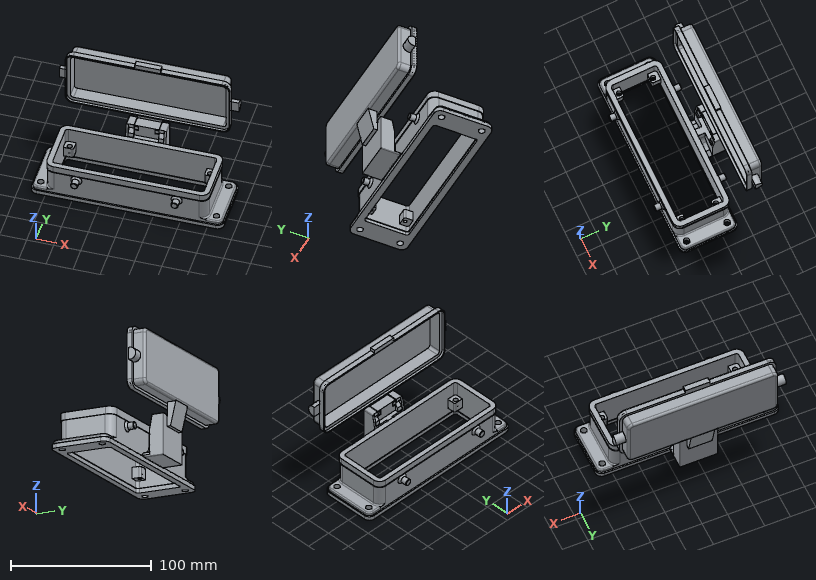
import cadquery as cq
import math

flange_length = 142.5
flange_width = 45.5
flange_height = 3.5
flange_corner = 5.0
pad_length = 140.6
pad_top = 6.2
pad_corner = 4.2
edge_round = 1.0
collar_length = 119.5
collar_width = 43.2
collar_corner = 6.0
collar_top = 29.25
rim_length = 120.5
rim_width = 44.2
rim_bottom = 23.5
opening_length = 112.0
opening_width = 36.0
opening_corner = 2.0
ledge_width = 0.5
wall_overlap = 1.0

mount_spacing_x = 130.0
mount_spacing_y = 32.0
mount_diameter = 4.6
boss_length = 7.6
boss_width = 7.0
boss_bottom = 9.2
boss_top = 17.5
boss_round = 1.3
screw_spacing_x = 103.8
screw_spacing_y = 27.0
screw_diameter = 2.4
screw_counterbore = 3.6
screw_counterbore_depth = 5.0

pin_spacing = 74.2
pin_height = 19.7
pin_radius = 2.6
pin_tip = 28.0
pin_tip_chamfer = 0.4
pin_foot_radius = 4.05
pin_foot_end = 23.2

lid_center_z = 63.9
lid_front = 33.5
lid_flange_back = 37.6
lid_back = 47.0
lid_flange_length = 122.0
lid_flange_height = 46.2
lid_flange_corner = 6.0
lid_shell_length = 117.4
lid_shell_height = 42.0
lid_shell_corner = 4.0
lid_back_round = 1.9
lid_lip = 0.9
lid_lip_depth = 2.0
lid_cavity_length = 115.0
lid_cavity_height = 38.9
lid_cavity_corner = 2.2
lid_floor = 1.8
tab_width = 19.2
tab_top = 89.75
lug_span = 132.8
lug_radius = 4.5
lug_back = 43.4

arm_width = 18.4
arm_face = 39.5
arm_slope_top = (46.6, 44.2)
arm_tip_y = 42.05
arm_bottom = 24.9
hinge_width = 30.0
hinge_back = 39.3
hinge_front = 28.3
hinge_top = 33.6
hinge_bottom = 2.4
hinge_top_front = 30.2
hinge_round = 0.4
hinge_toe_end = 23.7
hinge_toe_top = 4.0
ledge_height = 23.1
knuckle_top = 32.75
knuckle_front = 31.5
jamb_inner_x = 6.1
jamb_front = 30.85
jamb_top = 32.3
jamb_bottom = 28.8
cheek_step_x = 13.2
cheek_step_depth = 0.5
notch_top = 31.0
notch_back = 33.5
notch_back_bottom = 30.4
notch_front_bottom = 25.6
web_half_width = 2.7
web_flare_start = 15.15
web_flare_mid = (5.1, 9.4)
web_flare_end = (10.9, 7.2)
flare_mid_slope = math.radians(40)


def rounded_block(length, width, corner, z_bottom, z_top):
    """Vertical block centred on the Z axis with rounded vertical edges."""
    block = cq.Workplane("XY").workplane(offset=z_bottom).rect(length, width)
    return block.extrude(z_top - z_bottom).edges("|Z").fillet(corner)


def lid_block(length, height, corner, y_front, y_back):
    """Block centred on the lid, running from y_front to y_back, with edges along Y rounded."""
    plane = cq.Workplane("XZ", origin=(0, y_back, lid_center_z))
    return plane.rect(length, height).extrude(y_back - y_front).edges("|Y").fillet(corner)


def box_between(x0, x1, y0, y1, z0, z1):
    """Axis-aligned box given by its limits."""
    return cq.Workplane("XY").box(x1 - x0, y1 - y0, z1 - z0, centered=False).translate((x0, y0, z0))


def yz_prism(points, x0, x1):
    """Prism along X whose section is a polygon of (y, z) points."""
    return cq.Workplane("YZ").workplane(offset=x0).polyline(points).close().extrude(x1 - x0)


def make_collar():
    """Collar on its pad; the cove between them is trimmed flush with the long sides of the pad."""
    plate_width = 2 * collar_width
    plate = rounded_block(pad_length, plate_width, pad_corner, flange_height, pad_top)
    column = rounded_block(collar_length, collar_width, collar_corner, flange_height, collar_top)
    stock = plate.union(column)
    cove_reach = collar_length / 2 + edge_round
    cove_zone = cq.selectors.BoxSelector(
        (-cove_reach, -collar_width / 2 - edge_round, pad_top - edge_round / 2),
        (cove_reach, collar_width / 2 + edge_round, pad_top + edge_round / 2),
    )
    stock = stock.edges(cove_zone).fillet(edge_round)

    pad = rounded_block(pad_length, collar_width, pad_corner, flange_height, pad_top)
    pad = pad.faces(">Z").edges().fillet(edge_round)
    half_width = collar_width / 2
    core_reach = collar_length / 2 - edge_round
    core = box_between(-core_reach, core_reach, -half_width, half_width, flange_height, pad_top)
    upper_core = box_between(-cove_reach, cove_reach, -half_width, half_width, pad_top, collar_top)
    return stock.intersect(pad.union(core).union(upper_core))


def make_base():
    """Flange, collar on its pad and the thicker rim of the collar."""
    flange = rounded_block(flange_length, flange_width, flange_corner, 0, flange_height)
    rim = rounded_block(rim_length, rim_width, collar_corner, rim_bottom, collar_top)
    return flange.union(make_collar()).union(rim)


def make_opening():
    """Through opening of the base, slightly narrower in the thickness of the flange."""
    lower_length = opening_length - 2 * ledge_width
    lower_width = opening_width - 2 * ledge_width
    upper = rounded_block(opening_length, opening_width, opening_corner, flange_height, collar_top)
    lower = rounded_block(lower_length, lower_width, opening_corner, 0, flange_height)
    return upper.union(lower)


def make_screw_bosses():
    """Screw bosses in the four inner corners, buried slightly into the walls."""
    bosses = cq.Workplane("XY")
    for side_x in (-1, 1):
        for side_y in (-1, 1):
            inner_x = opening_length / 2 - boss_length
            inner_y = opening_width / 2 - boss_width
            outer_x = opening_length / 2 + wall_overlap
            outer_y = opening_width / 2 + wall_overlap
            boss = box_between(inner_x, outer_x, inner_y, outer_y, boss_bottom, boss_top)
            boss = boss.edges("|Z and <X and <Y").fillet(boss_round)
            if side_x < 0:
                boss = boss.mirror("YZ")
            if side_y < 0:
                boss = boss.mirror("XZ")
            bosses = bosses.add(boss)
    return bosses.combine()


def make_pin(x, side):
    """Locking pin on a conical foot, on the +Y wall (side 1) or the -Y wall (side -1)."""
    root = collar_width / 2 - wall_overlap
    wall = collar_width / 2
    profile = [
        (0, root),
        (pin_foot_radius, root),
        (pin_foot_radius, wall),
        (pin_radius, pin_foot_end),
        (pin_radius, pin_tip - pin_tip_chamfer),
        (pin_radius - pin_tip_chamfer, pin_tip),
        (0, pin_tip),
    ]
    pin = cq.Workplane("XY").polyline(profile).close().revolve(360, (0, 0, 0), (0, 1, 0))
    if side < 0:
        pin = pin.mirror("XZ")
    return pin.translate((x, 0, pin_height))


def make_lid():
    """Hollow lid with its rim flange, top tab, side lugs and hinge arm."""
    flange = lid_block(lid_flange_length, lid_flange_height, lid_flange_corner, lid_front, lid_flange_back)
    shell = lid_block(lid_shell_length, lid_shell_height, lid_shell_corner, lid_front, lid_back)
    shell = shell.faces(">Y").edges().fillet(lid_back_round)
    tab = box_between(-tab_width / 2, tab_width / 2, lid_front, lid_flange_back, lid_center_z, tab_top)
    lug = cq.Workplane("YZ", origin=(-lug_span / 2, lug_back - lug_radius, lid_center_z))
    lug = lug.circle(lug_radius).extrude(lug_span)
    lug_bottom = lid_center_z - lug_radius
    lug_top = lid_center_z + lug_radius
    lug_zone = box_between(-lug_span / 2, lug_span / 2, lid_flange_back, lid_back, lug_bottom, lug_top)
    lid = flange.union(shell).union(tab).union(lug.intersect(lug_zone)).union(make_arm())

    seat = lid_block(
        lid_flange_length - 2 * lid_lip,
        lid_flange_height - 2 * lid_lip,
        lid_flange_corner - lid_lip,
        lid_front,
        lid_front + lid_lip_depth,
    )
    cavity_end = lid_back - lid_floor
    cavity = lid_block(lid_cavity_length, lid_cavity_height, lid_cavity_corner, lid_front, cavity_end)
    return lid.cut(seat).cut(cavity)


def make_arm():
    """Tapered arm that hangs from the lid down to the hinge block."""
    top = lid_center_z - lid_cavity_height / 2
    section = [
        (arm_face, top),
        (arm_slope_top[0], top),
        arm_slope_top,
        (arm_tip_y, arm_bottom),
        (hinge_back, arm_bottom),
        (hinge_back, knuckle_top),
        (arm_face, knuckle_top),
    ]
    return yz_prism(section, -arm_width / 2, arm_width / 2)


def make_hinge_block():
    """Block with two cheeks, a lower knuckle between them and a toe under the web."""
    section = [
        (hinge_back, hinge_bottom),
        (hinge_back, hinge_top),
        (hinge_top_front, hinge_top),
        (hinge_front, ledge_height),
        (hinge_front, hinge_toe_top),
        (hinge_toe_end, hinge_toe_top),
        (hinge_toe_end, hinge_bottom),
    ]
    half_width = hinge_width / 2
    half_arm = arm_width / 2
    block = yz_prism(section, -half_width, half_width)
    block = block.faces(">Z or >Y or <Z").edges("<X or >X").fillet(hinge_round)

    above_knuckle = box_between(-half_arm, half_arm, hinge_front, hinge_back, knuckle_top, hinge_top)
    before_knuckle = box_between(-half_arm, half_arm, hinge_front, knuckle_front, ledge_height, hinge_top)
    block = block.cut(above_knuckle).cut(before_knuckle)

    step = [
        (hinge_front, ledge_height),
        (hinge_front, hinge_top),
        (hinge_top_front + cheek_step_depth, hinge_top),
        (hinge_front + cheek_step_depth, ledge_height),
    ]
    notch = [
        (hinge_front, notch_top),
        (notch_back, notch_top),
        (notch_back, notch_back_bottom),
        (hinge_front + cheek_step_depth, notch_front_bottom),
        (hinge_front, notch_front_bottom),
    ]
    for x0, x1 in ((-cheek_step_x, -half_arm), (half_arm, cheek_step_x)):
        block = block.cut(yz_prism(step, x0, x1)).cut(yz_prism(notch, x0, x1))

    for x0, x1 in ((-half_arm, -jamb_inner_x), (jamb_inner_x, half_arm)):
        block = block.union(box_between(x0, x1, jamb_front, hinge_back, jamb_bottom, jamb_top))
    return block


def arc_midpoint(start, end, start_angle):
    """Middle point of the arc from start to end that leaves start at start_angle."""
    chord = math.hypot(end[0] - start[0], end[1] - start[1])
    chord_angle = math.atan2(end[1] - start[1], end[0] - start[0])
    sagitta = chord / 2 * math.tan((start_angle - chord_angle) / 2)
    normal = chord_angle + math.pi / 2
    mid_x = (start[0] + end[0]) / 2 + sagitta * math.cos(normal)
    mid_y = (start[1] + end[1]) / 2 + sagitta * math.sin(normal)
    return (mid_x, mid_y)


def make_web():
    """Web joining the hinge block to the base: a narrow stem that flares out to a wide foot."""
    stem_end = (web_half_width, web_flare_start)
    upper_mid = arc_midpoint(stem_end, web_flare_mid, -math.pi / 2)
    lower_mid = arc_midpoint(web_flare_mid, web_flare_end, -flare_mid_slope)
    root = collar_width / 2 - wall_overlap
    half = (
        cq.Workplane("XZ", origin=(0, hinge_front, 0))
        .moveTo(0, ledge_height)
        .lineTo(web_half_width, ledge_height)
        .lineTo(*stem_end)
        .threePointArc(upper_mid, web_flare_mid)
        .threePointArc(lower_mid, web_flare_end)
        .lineTo(hinge_width / 2, hinge_toe_top)
        .lineTo(0, hinge_toe_top)
        .close()
        .extrude(hinge_front - root)
    )
    return half.union(half.mirror("YZ"))


def drill_base(body):
    """Mounting holes through the flange ends and counterbored screw holes through the bosses."""
    mount_plane = cq.Workplane("XY").rect(mount_spacing_x, mount_spacing_y, forConstruction=True)
    mount_holes = mount_plane.vertices().circle(mount_diameter / 2).extrude(pad_top)
    screw_plane = cq.Workplane("XY", origin=(0, 0, boss_top))
    screw_points = screw_plane.rect(screw_spacing_x, screw_spacing_y, forConstruction=True).vertices()
    screw_holes = screw_points.circle(screw_diameter / 2).extrude(boss_bottom - boss_top)
    counterbores = screw_points.circle(screw_counterbore / 2).extrude(-screw_counterbore_depth)
    return body.cut(mount_holes).cut(screw_holes).cut(counterbores)


base = make_base().union(make_web())
for pin_x in (-pin_spacing / 2, pin_spacing / 2):
    for pin_side in (-1, 1):
        base = base.union(make_pin(pin_x, pin_side))
base = drill_base(base.cut(make_opening()).union(make_screw_bosses()))
result = base.union(make_hinge_block()).union(make_lid())